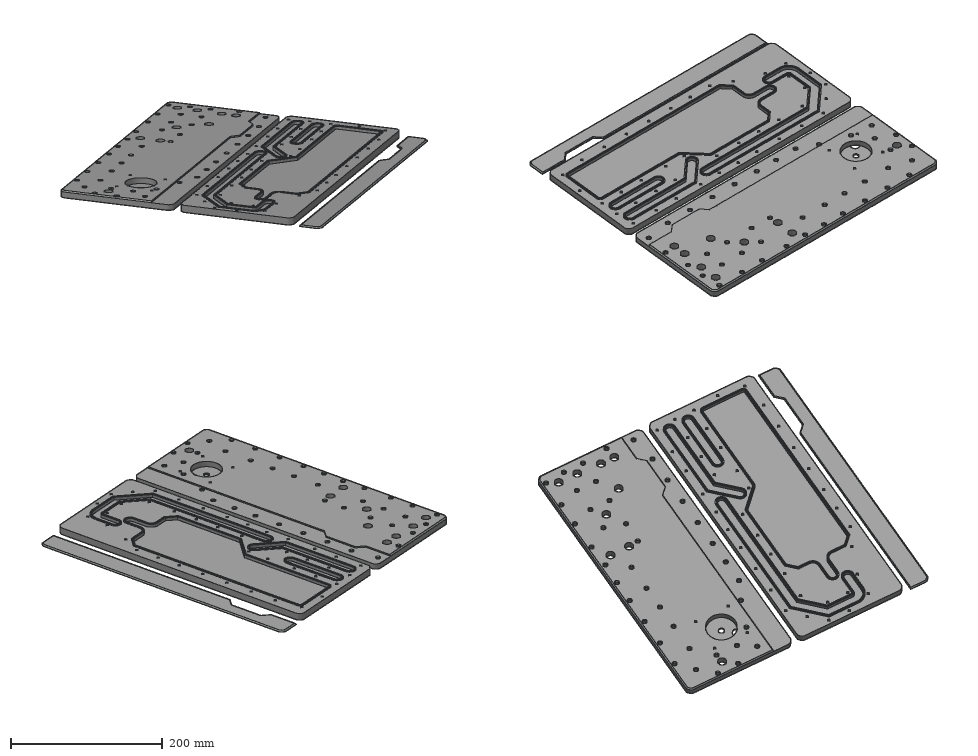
import cadquery as cq
PLATE_LENGTH = 400.0
PLATE_WIDTH = 160.0
PLATE_THICKNESS = 10.0
CORNER_CHAMFER = 5.0
CORNER_RADIUS = 5.0
BODY_GAP = 10.0

COVER_THICKNESS = 2.0
COVER_WIDTH = 30.0
RIM_CHAMFER = 1.8
JOINT_CHAMFER = 1.0
TAB_REACH = 10.0
TAB_TOP_Y = 359.0
TAB_BOTTOM_Y = 291.0

LEDGE_Z = PLATE_THICKNESS - COVER_THICKNESS
JOINT_X = PLATE_WIDTH - COVER_WIDTH

BACK_PLATE_X = PLATE_WIDTH + BODY_GAP
COVER_X = BACK_PLATE_X + PLATE_WIDTH + BODY_GAP - JOINT_X

SCREW_CLEARANCE_DIAMETER = 4.5
COUNTERSINK_WIDTH = 1.0
TAPPED_DIAMETER = 3.3
TAPPED_DEPTH = 8.0
SCREW_COLUMNS = [
    (6.5, [385.0, 345.0, 309.0, 265.5, 199.0, 165.5, 126.5, 86.5, 47.5]),
    (35.5, [388.5, 354.5, 319.0, 285.0, 211.0, 171.5, 136.5, 100.5, 59.0]),
    (65.0, [388.5, 354.5, 319.0, 275.0]),
    (148.5, [349.0, 309.5, 270.0, 230.5, 191.0, 157.0, 122.0]),
]
SINGLE_SCREWS = [
    (7.5, 231.5), (64.0, 243.0), (103.5, 393.0), (142.5, 388.5), (134.5, 93.0), (118.0, 51.0),
    (61.0, 31.5), (92.5, 31.5), (26.0, 25.0), (115.0, 17.0), (48.0, 5.5), (79.0, 5.5),
]
SCREW_POINTS = [(x, y) for x, column in SCREW_COLUMNS for y in column] + SINGLE_SCREWS

CHANNEL_WIDTH = 11.5
CHANNEL_DEPTH = 5.0
SEAL_WALL = 1.0
SEAL_WIDTH = 1.5
SEAL_DEPTH = 1.0
LEFT_CHANNEL_X = 21.5
SLOT_X = 50.0
CHANNEL_TOP_Y = 378.0
SLOT_BOTTOM_Y = 301.5
LOWER_PORT_Y = 242.0
BOTTOM_CHANNEL_Y = 19.0
BOTTOM_BEND_X = 55.0
BEND_RADIUS = 9.5

PUMP_X = 89.5
PUMP_Y = 67.5
PUMP_SEAT_DIAMETER = 42.0
PUMP_SEAT_DEPTH = 8.0
PUMP_INLET_DIAMETER = 8.0
PUMP_SCREW_SPACING = 50.0
PUMP_OUTLET = (105.5, 55.0)

RESERVOIR_LEFT = 45.0
RESERVOIR_UPPER_LEFT = 74.0
RESERVOIR_RIGHT = 139.0
RESERVOIR_TOP = 384.0
RESERVOIR_BOTTOM = 101.0
RESERVOIR_SHOULDER_Y = 243.5
RESERVOIR_BOTTOM_CHAMFER = 11.5
RESERVOIR_CORNER_RADIUS = 3.0
NECK_RADIUS = 11.5

RESERVOIR_PORT_X = 85.0
PORT_POINTS = [
    (LEFT_CHANNEL_X, CHANNEL_TOP_Y), (SLOT_X, CHANNEL_TOP_Y), (RESERVOIR_PORT_X, 376.0), (105.5, 376.0),
    (RESERVOIR_PORT_X, 329.5), (SLOT_X, SLOT_BOTTOM_Y), (LEFT_CHANNEL_X, LOWER_PORT_Y),
    (SLOT_X, LOWER_PORT_Y), (62.5, BOTTOM_CHANNEL_Y),
]


def plate_blank(thickness):
    """Plate with chamfered and rounded corners, its lower left corner at the origin."""
    blank = cq.Workplane().box(PLATE_WIDTH, PLATE_LENGTH, thickness, centered=False)
    return blank.edges("|Z").chamfer(CORNER_CHAMFER).edges("|Z").fillet(CORNER_RADIUS)


def holes(points, diameter, bottom, top):
    """Vertical cylinders between two heights, for cutting."""
    drill = cq.Workplane().workplane(offset=bottom).pushPoints(points)
    return drill.circle(diameter / 2).extrude(top - bottom)


def countersinks(points, surface_z):
    """45 degree cones that open the clearance holes at a surface."""
    rim_radius = SCREW_CLEARANCE_DIAMETER / 2 + COUNTERSINK_WIDTH
    cone = cq.Solid.makeCone(rim_radius, 0, rim_radius, pnt=(0, 0, 0), dir=(0, 0, -1))
    cones = cq.Workplane().pushPoints(points).eachpoint(lambda place: cone.moved(place))
    return cones.translate((0, 0, surface_z))


def joint_side(z):
    """Layer of cover thickness on the front plate's side of the tabbed joint line."""
    tab_x = JOINT_X + TAB_REACH
    outline = [
        (0, 0),
        (JOINT_X, 0),
        (JOINT_X, TAB_BOTTOM_Y),
        (tab_x, TAB_BOTTOM_Y + TAB_REACH),
        (tab_x, TAB_TOP_Y - TAB_REACH),
        (JOINT_X, TAB_TOP_Y),
        (JOINT_X, PLATE_LENGTH),
        (0, PLATE_LENGTH),
    ]
    return cq.Workplane().workplane(offset=z).polyline(outline).close().extrude(COVER_THICKNESS)


def make_front_plate():
    """Plate with the raised face, the cover ledge, the ports and the screw holes."""
    plate = plate_blank(PLATE_THICKNESS).faces(">Z").chamfer(RIM_CHAMFER)
    raised = joint_side(LEDGE_Z).intersect(plate)
    plate = plate_blank(LEDGE_Z).union(raised)
    plate = plate.cut(holes(PORT_POINTS, CHANNEL_WIDTH, 0, PLATE_THICKNESS))
    plate = plate.cut(holes(SCREW_POINTS, SCREW_CLEARANCE_DIAMETER, 0, PLATE_THICKNESS))
    ledge_screws = [point for point in SCREW_POINTS if point[0] > JOINT_X]
    raised_screws = [point for point in SCREW_POINTS if point[0] <= JOINT_X]
    plate = plate.cut(countersinks(ledge_screws, LEDGE_Z))
    plate = plate.cut(countersinks(raised_screws, PLATE_THICKNESS))
    return cut_pump_seat(plate)


def cut_pump_seat(plate):
    """Round recess with its inlet, its outlet from below and four tapped holes."""
    seat_z = PLATE_THICKNESS - PUMP_SEAT_DEPTH
    centre = [(PUMP_X, PUMP_Y)]
    half = PUMP_SCREW_SPACING / 2
    screws = [(PUMP_X + i * half, PUMP_Y + j * half) for i in (-1, 1) for j in (-1, 1)]
    plate = plate.cut(holes(centre, PUMP_SEAT_DIAMETER, seat_z, PLATE_THICKNESS))
    plate = plate.cut(holes(centre, PUMP_INLET_DIAMETER, 0, PLATE_THICKNESS))
    plate = plate.cut(holes([PUMP_OUTLET], CHANNEL_WIDTH, 0, seat_z))
    return plate.cut(holes(screws, TAPPED_DIAMETER, seat_z, PLATE_THICKNESS))


def channel(path, ends, width, depth):
    """Round-ended channel along a planar path, cut down from the top of the plate."""
    floor_z = PLATE_THICKNESS - depth
    body = (
        cq.Workplane("XZ", origin=(ends[0][0], ends[0][1], floor_z + depth / 2))
        .rect(width, depth)
        .sweep(path.translate((0, 0, floor_z + depth / 2)), transition="right")
    )
    return body.union(holes(ends, width, floor_z, PLATE_THICKNESS))


def channel_routes():
    """Centre lines of the three channels, each with its two end points."""
    upper_bend_y = LOWER_PORT_Y + SLOT_X - LEFT_CHANNEL_X
    left_ends = [(LEFT_CHANNEL_X, CHANNEL_TOP_Y), (SLOT_X, LOWER_PORT_Y)]
    left = cq.Workplane().moveTo(*left_ends[0]).lineTo(LEFT_CHANNEL_X, upper_bend_y).lineTo(*left_ends[1])

    slot_ends = [(SLOT_X, CHANNEL_TOP_Y), (SLOT_X, SLOT_BOTTOM_Y)]
    slot = cq.Workplane().moveTo(*slot_ends[0]).lineTo(*slot_ends[1])

    lower_bend_y = BOTTOM_CHANNEL_Y + BOTTOM_BEND_X - LEFT_CHANNEL_X
    return_ends = [(LEFT_CHANNEL_X, LOWER_PORT_Y), PUMP_OUTLET]
    pump_line = (
        cq.Workplane()
        .moveTo(*return_ends[0])
        .lineTo(LEFT_CHANNEL_X, lower_bend_y)
        .lineTo(BOTTOM_BEND_X, BOTTOM_CHANNEL_Y)
        .lineTo(PUMP_OUTLET[0] - BEND_RADIUS, BOTTOM_CHANNEL_Y)
        .tangentArcPoint((BEND_RADIUS, BEND_RADIUS))
        .lineTo(*PUMP_OUTLET)
    )
    return [(left.wire(), left_ends), (slot.wire(), slot_ends), (pump_line.wire(), return_ends)]


def reservoir(growth, depth):
    """Reservoir pocket with its neck to the pump, its outline grown by a margin."""
    half_neck = CHANNEL_WIDTH / 2
    lower_y = RESERVOIR_BOTTOM + RESERVOIR_BOTTOM_CHAMFER
    slope = RESERVOIR_UPPER_LEFT - RESERVOIR_LEFT
    neck_left = PUMP_X - half_neck
    neck_right = PUMP_X + half_neck
    neck_y = RESERVOIR_BOTTOM - NECK_RADIUS
    outline = (
        cq.Workplane()
        .moveTo(RESERVOIR_RIGHT, lower_y)
        .lineTo(RESERVOIR_RIGHT, RESERVOIR_TOP - RESERVOIR_CORNER_RADIUS)
        .tangentArcPoint((-RESERVOIR_CORNER_RADIUS, RESERVOIR_CORNER_RADIUS))
        .lineTo(RESERVOIR_UPPER_LEFT + RESERVOIR_CORNER_RADIUS, RESERVOIR_TOP)
        .tangentArcPoint((-RESERVOIR_CORNER_RADIUS, -RESERVOIR_CORNER_RADIUS))
        .lineTo(RESERVOIR_UPPER_LEFT, RESERVOIR_SHOULDER_Y)
        .lineTo(RESERVOIR_LEFT, RESERVOIR_SHOULDER_Y - slope)
        .lineTo(RESERVOIR_LEFT, lower_y)
        .lineTo(RESERVOIR_LEFT + RESERVOIR_BOTTOM_CHAMFER, RESERVOIR_BOTTOM)
        .lineTo(neck_left - NECK_RADIUS, RESERVOIR_BOTTOM)
        .tangentArcPoint((NECK_RADIUS, -NECK_RADIUS))
        .lineTo(neck_left, PUMP_Y)
        .threePointArc((PUMP_X, PUMP_Y - half_neck), (neck_right, PUMP_Y))
        .lineTo(neck_right, neck_y)
        .tangentArcPoint((NECK_RADIUS, NECK_RADIUS))
        .lineTo(RESERVOIR_RIGHT - RESERVOIR_BOTTOM_CHAMFER, RESERVOIR_BOTTOM)
        .close()
    )
    if growth > 0:
        outline = outline.offset2D(growth, "intersection")
    return outline.extrude(depth).translate((0, 0, PLATE_THICKNESS - depth))


def water_cavities(margin, depth):
    """All channels and the reservoir, widened by a margin on every side."""
    cavities = reservoir(margin, depth)
    for path, ends in channel_routes():
        cavities = cavities.union(channel(path, ends, CHANNEL_WIDTH + 2 * margin, depth))
    return cavities


def make_back_plate():
    """Plate with the water channels, the seal groove around them and the tapped holes."""
    plate = plate_blank(PLATE_THICKNESS)
    plate = plate.cut(water_cavities(0, CHANNEL_DEPTH))
    groove = water_cavities(SEAL_WALL + SEAL_WIDTH, SEAL_DEPTH)
    groove = groove.cut(water_cavities(SEAL_WALL, SEAL_DEPTH))
    plate = plate.cut(groove)
    tapped_bottom = PLATE_THICKNESS - TAPPED_DEPTH
    plate = plate.cut(holes(SCREW_POINTS, TAPPED_DIAMETER, tapped_bottom, PLATE_THICKNESS))
    return plate.translate((BACK_PLATE_X, 0, 0))


def make_cover():
    """Thin strip that fills the ledge of the front plate."""
    strip = plate_blank(COVER_THICKNESS).faces(">Z").chamfer(RIM_CHAMFER).cut(joint_side(0))
    joint_edges = cq.selectors.BoxSelector(
        (0, 0, 0), (JOINT_X + TAB_REACH + JOINT_CHAMFER, PLATE_LENGTH, 2 * COVER_THICKNESS)
    )
    strip = strip.faces(">Z").edges(joint_edges).chamfer(JOINT_CHAMFER)
    return strip.translate((COVER_X, 0, 0))


front_plate = make_front_plate()
back_plate = make_back_plate()
cover = make_cover()
result = cq.Compound.makeCompound([front_plate.val(), back_plate.val(), cover.val()])